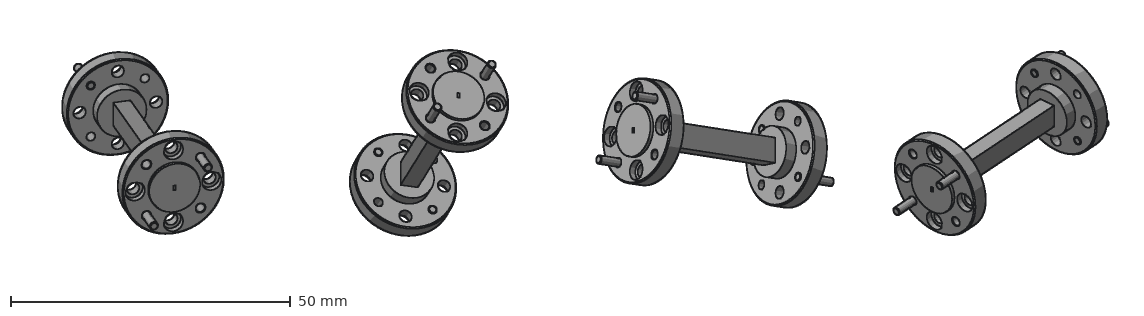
import cadquery as cq
import math


PIN_TIP_X = 22.92
BOSS_FACE_X = 19.05
FLANGE_OUTER_X = 18.35
FLANGE_THICKNESS = 3.3
HUB_LENGTH = 2.35
FLANGE_INNER_X = FLANGE_OUTER_X - FLANGE_THICKNESS
HUB_END_X = FLANGE_INNER_X - HUB_LENGTH

FLANGE_DIAMETER = 19.05
FLANGE_CHAMFER = 0.25
BOSS_DIAMETER = 9.55
HUB_DIAMETER = 9.25

BAR_WIDTH = 3.2
BAR_HEIGHT = 4.6
APERTURE_WIDTH = 0.43
APERTURE_HEIGHT = 0.85
APERTURE_DEPTH = 0.1

BOLT_CIRCLE_RADIUS = 7.15
BOLT_HOLE_DIAMETER = 2.3
COUNTERBORE_DIAMETER = 3.58
COUNTERBORE_DEPTH = 1.3
PIN_DIAMETER = 1.55
PIN_CHAMFER = 0.15
PIN_CLEARANCE_DIAMETER = 1.65
PIN_HOLE_CHAMFER = 0.115

LEFT = -1
RIGHT = 1
BOLT_ANGLES = [0, 90, 180, 270]
PIN_ANGLES = {LEFT: [135, 315], RIGHT: [45, 225]}


def on_circle(angle):
    """Y and Z of a place on the bolt circle."""
    turn = math.radians(angle)
    return BOLT_CIRCLE_RADIUS * math.cos(turn), BOLT_CIRCLE_RADIUS * math.sin(turn)


def cylinder(diameter, start_x, end_x, centers=((0, 0),)):
    """Cylinders along X between two X positions, around the given (Y, Z) centers."""
    return (
        cq.Workplane("YZ", origin=(start_x, 0, 0))
        .pushPoints(list(centers))
        .circle(diameter / 2)
        .extrude(end_x - start_x)
    )


def pin_holes(side, diameter, angles):
    """Cutters for holes through the flange, each with a chamfer at its outer mouth."""
    places = [on_circle(angle) for angle in angles]
    holes = cylinder(diameter, side * FLANGE_INNER_X, side * FLANGE_OUTER_X, places)
    for y, z in places:
        mouth = cq.Solid.makeCone(
            diameter / 2 + PIN_HOLE_CHAMFER,
            diameter / 2,
            PIN_HOLE_CHAMFER,
            pnt=cq.Vector(side * FLANGE_OUTER_X, y, z),
            dir=cq.Vector(-side, 0, 0),
        )
        holes = holes.union(cq.Workplane(mouth))
    return holes


def make_flange(side):
    """Flange disc with boss, hub and all of its holes."""
    outer_x = side * FLANGE_OUTER_X
    inner_x = side * FLANGE_INNER_X
    disc = cylinder(FLANGE_DIAMETER, inner_x, outer_x).edges().chamfer(FLANGE_CHAMFER)
    boss = cylinder(BOSS_DIAMETER, outer_x, side * BOSS_FACE_X)
    hub = cylinder(HUB_DIAMETER, side * HUB_END_X, inner_x)

    bolt_places = [on_circle(angle) for angle in BOLT_ANGLES]
    counterbore_floor_x = side * (FLANGE_OUTER_X - COUNTERBORE_DEPTH)

    return (
        disc.cut(cylinder(BOLT_HOLE_DIAMETER, inner_x, outer_x, bolt_places))
        .cut(cylinder(COUNTERBORE_DIAMETER, counterbore_floor_x, outer_x, bolt_places))
        .cut(pin_holes(side, PIN_DIAMETER, PIN_ANGLES[side]))
        .cut(pin_holes(side, PIN_CLEARANCE_DIAMETER, PIN_ANGLES[-side]))
        .union(boss)
        .union(hub)
    )


def make_aperture(side):
    """Shallow rectangular recess in the boss face."""
    center_x = side * (BOSS_FACE_X - APERTURE_DEPTH / 2)
    recess = cq.Workplane("XY").box(APERTURE_DEPTH, APERTURE_WIDTH, APERTURE_HEIGHT)
    return recess.translate((center_x, 0, 0))


def make_housing():
    """Bar and both flanges as one solid."""
    housing = cq.Workplane("XY").box(2 * HUB_END_X, BAR_WIDTH, BAR_HEIGHT)
    for side in (LEFT, RIGHT):
        housing = housing.union(make_flange(side)).cut(make_aperture(side))
    return housing


def make_pin(side, angle):
    """Alignment pin, flush with the inner flange face and chamfered at both ends."""
    pin = cylinder(PIN_DIAMETER, side * FLANGE_INNER_X, side * PIN_TIP_X, [on_circle(angle)])
    return pin.faces("<X or >X").edges().chamfer(PIN_CHAMFER)


housing = make_housing()
pins = [make_pin(side, angle).val() for side in (LEFT, RIGHT) for angle in PIN_ANGLES[side]]

result = cq.Compound.makeCompound([housing.val(), *pins])